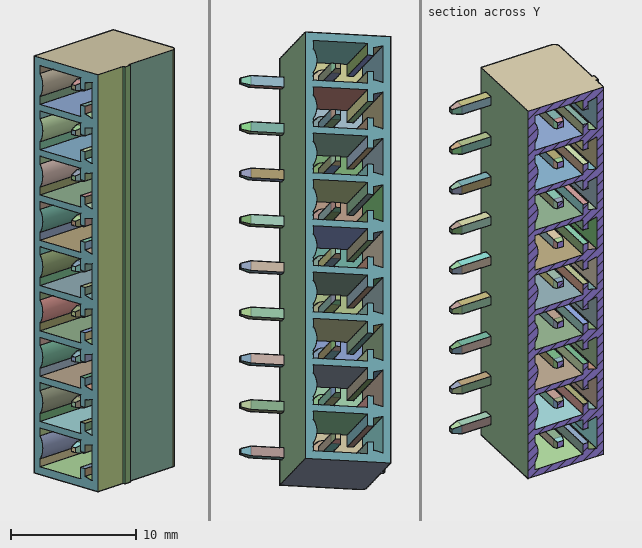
import cadquery as cq

PIN_COUNT = 9
PITCH = 3.81
END_MARGIN = 2.3

HOUSING_WIDTH = 7.0
HOUSING_DEPTH = 9.2
HOUSING_HEIGHT = (PIN_COUNT - 1) * PITCH + 2 * END_MARGIN
CORNER_RADIUS = 0.5

RIB_HEIGHT = 0.2
RIB_WIDTH = 0.65
RIB_FRONT = 2.95

SOCKET_DEPTH = 7.2
SOCKET_LEFT = 0.65
SOCKET_RIGHT = 5.08
SOCKET_HALF_HEIGHT = 1.63
BUMP_HEIGHT = 0.3
BUMP_HALF_BASE = 0.97
KEY_HALF_GAP = 0.667
KEY_RIGHT = 5.6
KEYWAY_RIGHT = 6.35
KEYWAY_HALF_NEAR = 1.31
KEYWAY_HALF_FAR = 1.5

PIN_SIZE = 0.8
PIN_TIP_SIZE = 0.4
PIN_TIP_LENGTH = 0.8
SOLDER_PIN_LENGTH = 3.5
SOLDER_PIN_INSET = 1.2
SOLDER_PIN_Y = HOUSING_DEPTH - SOLDER_PIN_INSET
CONTACT_X = 3.0
CONTACT_TIP_Y = 1.4
COLLAR_RADIUS = 0.93
COLLAR_HEIGHT = 0.5


def make_housing():
    """Plain block with one rounded long edge and the rib on its +X side."""
    block = (
        cq.Workplane("XY")
        .workplane(offset=-END_MARGIN)
        .rect(HOUSING_WIDTH, HOUSING_DEPTH, centered=False)
        .extrude(HOUSING_HEIGHT)
        .edges("|Z and >X and >Y")
        .fillet(CORNER_RADIUS)
    )
    rib = (
        cq.Workplane("XY", origin=(HOUSING_WIDTH, RIB_FRONT, -END_MARGIN))
        .rect(RIB_HEIGHT, RIB_WIDTH, centered=False)
        .extrude(HOUSING_HEIGHT)
    )
    return block.union(rib)


def make_socket(z):
    """Cavity for one contact: a bulged left wall, a coding slot and a flared keyway."""
    upper = [
        (SOCKET_LEFT, BUMP_HALF_BASE),
        (SOCKET_LEFT, SOCKET_HALF_HEIGHT),
        (SOCKET_RIGHT, SOCKET_HALF_HEIGHT),
        (SOCKET_RIGHT, KEY_HALF_GAP),
        (KEY_RIGHT, KEY_HALF_GAP),
        (KEY_RIGHT, KEYWAY_HALF_NEAR),
        (KEYWAY_RIGHT, KEYWAY_HALF_FAR),
    ]
    lower = [(x, -height) for x, height in reversed(upper)]
    return (
        cq.Workplane("XZ", origin=(0, 0, z))
        .polyline(upper + lower)
        .threePointArc((SOCKET_LEFT + BUMP_HEIGHT, 0), upper[0])
        .wire()
        .extrude(-SOCKET_DEPTH)
    )


def make_pin(start, direction, length):
    """Square pin with a tapered tip, growing from start along direction."""
    plane = cq.Plane(origin=start, xDir=(0, 0, 1), normal=direction)
    shank_length = length - PIN_TIP_LENGTH
    shank = cq.Workplane(plane).rect(PIN_SIZE, PIN_SIZE).extrude(shank_length)
    tip = (
        cq.Workplane(plane)
        .workplane(offset=shank_length)
        .rect(PIN_SIZE, PIN_SIZE)
        .workplane(offset=PIN_TIP_LENGTH)
        .rect(PIN_TIP_SIZE, PIN_TIP_SIZE)
        .loft(ruled=True)
    )
    return shank.union(tip)


def make_contact(z):
    """Contact pin inside the socket, standing on a round collar."""
    collar = (
        cq.Workplane("XZ", origin=(CONTACT_X, SOCKET_DEPTH, z))
        .circle(COLLAR_RADIUS)
        .extrude(COLLAR_HEIGHT)
    )
    pin = make_pin((CONTACT_X, SOCKET_DEPTH, z), (0, -1, 0), SOCKET_DEPTH - CONTACT_TIP_Y)
    return collar.union(pin)


result = make_housing()
for index in range(PIN_COUNT):
    pin_z = index * PITCH
    result = result.cut(make_socket(pin_z))
    result = result.union(make_contact(pin_z))
    result = result.union(make_pin((0, SOLDER_PIN_Y, pin_z), (-1, 0, 0), SOLDER_PIN_LENGTH))